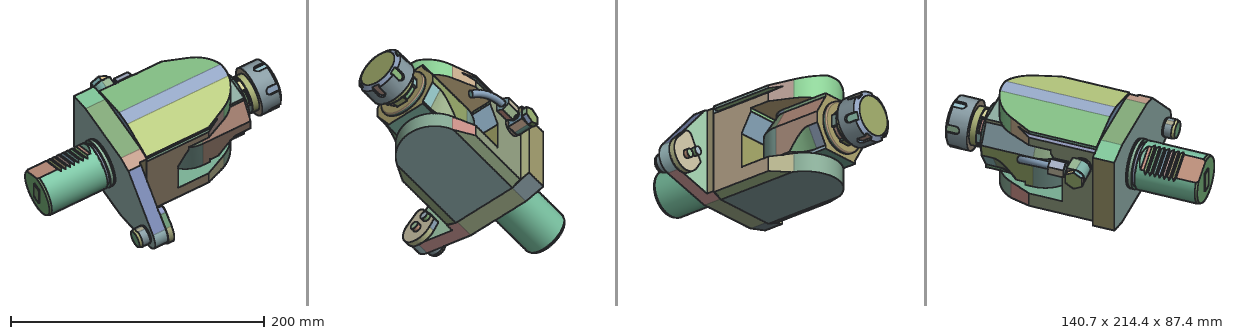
import cadquery as cq
import math


shank_dia = 40.0
shank_end = -60.2
shank_chamfer, shank_chamfer_length = 0.9, 2.0
neck_dia = 39.7
seal_ring_dia = 41.0
groove_dia = 36.0
seal_ring_start, seal_ring_end = -1.5, -4.7
groove_end = -7.5
key_width, key_height, key_rise = 8.0, 17.2, 0.9

flat_distance = 17.2
flat_tilt = 30
flat_start, runout_start = -11.5, -9.0
tooth_count = 7
first_tooth_y, last_tooth_y = -16.0, -40.0
tooth_pitch = (first_tooth_y - last_tooth_y) / (tooth_count - 1)
tooth_width, tooth_depth = 3.2, 1.7

flange_thickness = 18.2
flange_left = -45.5
flange_half_height = 39.2
flange_flat_half = 27.7
flange_slope = 15
lug_thickness = 11.5
lug_step_x = 37.5
lug_corner_x = 39.9
lug_x, lug_z = 68.2, -14.1
lug_radius = 13.7

screw_x, screw_z = 68.4, -15.0
screw_dia, screw_neck_dia = 15.9, 14.5
screw_neck, screw_length = 1.0, 10.5
screw_chamfer, screw_chamfer_length = 1.0, 2.5
screw_flat_width, screw_flat_tilt = 3.9, 16
pad_top = 17.0
pad_radius = 14.8
pad_upper_round = (66.5, 1.3, 5.0)
pad_left_round = (51.9, -15.7, 0.6)
pin_dia, pin_top = 7.0, 20.8
pin_places = [(58.7, -9.5), (screw_x, screw_z)]

body_half_width = 36.9
body_side_end = 75.3
nose_radius = 30.9
nose_taper = 25
body_end = 112.0
body_bottom = -40.7
bottom_flat_half, bottom_side_z = 28.5, -37.0
shoulder_z, shoulder_half = 36.0, 31.7
shoulder_side_z = 32.2
roof_z, roof_flat_half, roof_slope = 46.7, 6.5, 15
slot_floor = 47.2

head_half_width = 27.9
head_half_height = 24.5
head_end = 118.8
head_pivot_y = 75.3
head_top_half = 18.0
head_plate_z = 21.5
head_bevel_z = 5.0
gap_y, gap_z, gap_radius = 26.5, 2.1, 28.3
relief_start, relief_radius = 109.3, 15.0
edge_step_start = 82.0

ring_dia, ring_end, ring_round = 43.0, 122.5, 1.0
spindle_dia, spindle_end = 29.0, 128.0
spindle_shoulder_start = 126.5
spindle_groove_dia = 27.2
cross_bar_length, cross_bar_width = 29.2, 10.0
collar_dia, collar_end = 32.0, 133.8
nut_dia = 41.5
nut_chamfer, nut_chamfer_length = 4.0, 2.5
nut_slot_count, nut_slot_width, nut_slot_floor, nut_slot_start = 6, 6.5, 18.5, 140.6
nut_slot_angle = -10.7

fitting_y, fitting_z = 29.8, 17.0
fitting_block_dia, fitting_block_end = 15.5, 37.3
fitting_stub_dia = 14.5
fitting_block_x = (-53.4, -39.5)
plug_end_x, plug_hex_dia = -57.7, 16.3
outlet_x = -46.5
outlet_neck_dia, outlet_collar_dia = 8.1, 9.9
outlet_collar_start, union_start, union_end = 38.8, 40.5, 53.4
union_hex_dia = 14.0
tube_dia = 6.0
tube_reach, tube_shift_x, tube_drop = 28.7, 9.2, 8.5

overall_length = 214.4
nut_end = overall_length + shank_end - key_rise


def cylinder_y(dia, start, end, x=0.0, z=0.0):
    """Cylinder along Y between two stations."""
    plane = cq.Plane(origin=(x, start, z), xDir=(1, 0, 0), normal=(0, 1, 0))
    return cq.Workplane(plane).circle(dia / 2).extrude(end - start)


def prism_y(points, start, end):
    """Prism along Y from an outline of (x, z) points."""
    return cq.Workplane("XZ", origin=(0, start, 0)).polyline(points).close().extrude(start - end)


def box_between(low, high):
    """Box from its lowest to its highest corner."""
    size = [b - a for a, b in zip(low, high)]
    return cq.Workplane("XY").box(*size, centered=False).translate(low)


def mirrored_pair(shape):
    """A shape together with its mirror image across X = 0."""
    return shape.union(shape.mirror("YZ"))


def lug_tangent(x, z, side):
    """Point where the line from (x, z) touches the lug round (side +1 upper, -1 lower)."""
    away_x, away_z = x - lug_x, z - lug_z
    direction = math.atan2(away_z, away_x) - side * math.acos(lug_radius / math.hypot(away_x, away_z))
    return lug_x + lug_radius * math.cos(direction), lug_z + lug_radius * math.sin(direction)


def make_shank():
    shank = cylinder_y(shank_dia, shank_end, groove_end)
    shank = shank.faces("<Y").edges().chamfer(shank_chamfer_length, shank_chamfer)
    shank = shank.union(cylinder_y(groove_dia, groove_end, seal_ring_end))
    shank = shank.union(cylinder_y(seal_ring_dia, seal_ring_end, seal_ring_start))
    shank = shank.union(cylinder_y(neck_dia, seal_ring_start, 0))

    top = shank_dia
    past_end = shank_end - key_rise
    flat_cutter = (
        cq.Workplane("YZ")
        .polyline([(past_end, flat_distance), (flat_start, flat_distance),
                   (runout_start, shank_dia / 2), (runout_start, top), (past_end, top)])
        .close().extrude(shank_dia / 2, both=True)
    )
    for i in range(tooth_count):
        y = first_tooth_y - i * tooth_pitch
        groove = (
            cq.Workplane("YZ")
            .polyline([(y - tooth_width / 2, flat_distance), (y, flat_distance - tooth_depth),
                       (y + tooth_width / 2, flat_distance), (y, top)])
            .close().extrude(shank_dia / 2, both=True)
        )
        flat_cutter = flat_cutter.union(groove)
    shank = shank.cut(flat_cutter.rotate((0, 0, 0), (0, 1, 0), -flat_tilt))

    key = box_between((-key_width / 2, shank_end - key_rise, -key_height / 2),
                      (key_width / 2, shank_end, key_height / 2))
    return shank.union(key)


def make_flange():
    slope = math.tan(math.radians(flange_slope))
    side_z = flange_half_height - slope * (-flange_left - flange_flat_half)
    corner = (lug_corner_x, flange_half_height - slope * (lug_corner_x - flange_flat_half))
    bottom_right = (flange_flat_half, -flange_half_height)
    tip = (lug_x + lug_radius, lug_z)
    flange = (
        cq.Workplane("XZ")
        .moveTo(flange_left, -side_z)
        .lineTo(flange_left, side_z)
        .lineTo(-flange_flat_half, flange_half_height)
        .lineTo(flange_flat_half, flange_half_height)
        .lineTo(*corner)
        .lineTo(*lug_tangent(*corner, 1))
        .threePointArc(tip, lug_tangent(*bottom_right, -1))
        .lineTo(*bottom_right)
        .lineTo(-flange_flat_half, -flange_half_height)
        .close().extrude(-flange_thickness)
    )
    lug_relief = box_between((lug_step_x, lug_thickness, -flange_half_height),
                             (lug_x + 2 * lug_radius, flange_thickness, flange_half_height))
    return flange.cut(lug_relief)


def make_lug_parts():
    screw = cylinder_y(screw_dia, -screw_length, -screw_neck, screw_x, screw_z)
    screw = screw.faces("<Y").edges().chamfer(screw_chamfer_length, screw_chamfer)
    flat_height = math.sqrt((screw_dia / 2) ** 2 - (screw_flat_width / 2) ** 2)
    flat_cut = box_between((-screw_dia, -screw_length, flat_height), (screw_dia, -screw_neck, screw_dia))
    flat_cut = flat_cut.rotate((0, 0, 0), (0, 1, 0), -screw_flat_tilt).translate((screw_x, 0, screw_z))
    screw = screw.cut(flat_cut)
    parts = screw.union(cylinder_y(screw_neck_dia, -screw_neck, 0, screw_x, screw_z))

    rounds = [pad_upper_round, pad_left_round, (lug_x, lug_z, pad_radius)]
    pad = prism_y([(x, z) for x, z, _ in rounds], lug_thickness, pad_top)
    for x, z, radius in rounds:
        pad = pad.union(cylinder_y(2 * radius, lug_thickness, pad_top, x, z))
    for (xa, za, ra), (xb, zb, rb) in zip(rounds, rounds[1:] + rounds[:1]):
        heading = math.atan2(zb - za, xb - xa)
        normal = heading - math.acos((ra - rb) / math.hypot(xb - xa, zb - za))
        edge_x, edge_z = math.cos(normal), math.sin(normal)
        web = [(xa, za), (xa + ra * edge_x, za + ra * edge_z), (xb + rb * edge_x, zb + rb * edge_z), (xb, zb)]
        pad = pad.union(prism_y(web, lug_thickness, pad_top))
    parts = parts.union(pad)

    for x, z in pin_places:
        parts = parts.union(cylinder_y(pin_dia, pad_top, pin_top, x, z))
    return parts


def make_body():
    lower = [
        (-shoulder_half, shoulder_z), (shoulder_half, shoulder_z),
        (body_half_width, shoulder_side_z), (body_half_width, bottom_side_z),
        (bottom_flat_half, body_bottom), (-bottom_flat_half, body_bottom),
        (-body_half_width, bottom_side_z), (-body_half_width, shoulder_side_z),
    ]
    eave_z = roof_z - math.tan(math.radians(roof_slope)) * (body_half_width - roof_flat_half)
    roof = [
        (-body_half_width, shoulder_z), (-body_half_width, eave_z), (-roof_flat_half, roof_z),
        (roof_flat_half, roof_z), (body_half_width, eave_z), (body_half_width, shoulder_z),
    ]
    section = prism_y(lower, flange_thickness, body_end).union(prism_y(roof, flange_thickness, body_end))

    taper = math.radians(nose_taper)
    nose_y = body_end - nose_radius
    tangent_x = nose_radius * math.cos(taper)
    tangent_y = nose_y + nose_radius * math.sin(taper)
    plan = (
        cq.Workplane("XY", origin=(0, 0, body_bottom))
        .moveTo(-body_half_width, flange_thickness)
        .lineTo(-body_half_width, body_side_end)
        .lineTo(-tangent_x, tangent_y)
        .threePointArc((0, body_end), (tangent_x, tangent_y))
        .lineTo(body_half_width, body_side_end)
        .lineTo(body_half_width, flange_thickness)
        .close().extrude(roof_z - body_bottom)
    )
    slot_top_y = slot_floor + head_half_width - head_top_half
    slot = (
        cq.Workplane("YZ")
        .polyline([(slot_floor, -head_half_height), (slot_floor, head_bevel_z),
                   (slot_top_y, head_plate_z), (slot_top_y, head_half_height),
                   (head_end, head_half_height), (head_end, -head_half_height)])
        .close().extrude(body_half_width, both=True)
    )
    return section.intersect(plan).cut(slot)


def make_head():
    half_section = [
        (0, -head_half_height), (head_half_width, -head_half_height), (head_half_width, head_bevel_z),
        (head_top_half, head_plate_z), (head_top_half, head_half_height), (0, head_half_height),
    ]
    straight = prism_y(half_section, head_pivot_y, head_end)
    head = mirrored_pair(straight)
    rounded_back = (
        cq.Workplane("XZ").polyline(half_section).close()
        .revolve(360, (0, 0, 0), (0, 1, 0)).translate((0, head_pivot_y, 0))
    )
    head = head.union(rounded_back)
    gap = cq.Workplane("YZ").center(gap_y, gap_z).circle(gap_radius).extrude(head_half_width, both=True)
    head = head.cut(gap)

    bevel_depth = head_half_width - head_top_half
    bevel = [(head_half_width, -head_bevel_z), (head_top_half, -head_plate_z), (head_half_width, -head_plate_z)]
    relief = prism_y(bevel, relief_start, head_end)
    runout = (
        cq.Workplane("XZ")
        .polyline([(0, -head_bevel_z), (relief_radius, -head_bevel_z),
                   (relief_radius + bevel_depth, -head_plate_z), (0, -head_plate_z)])
        .close().revolve(360, (0, 0, 0), (0, 1, 0))
        .translate((head_half_width + relief_radius, relief_start, 0))
    )
    edge_step = box_between((head_top_half, edge_step_start, -head_half_height),
                            (head_half_width, head_end, -head_plate_z))
    return head.cut(mirrored_pair(relief.union(runout).union(edge_step)))


def make_spindle_and_nut():
    ring = cylinder_y(ring_dia, head_end, ring_end).edges().fillet(ring_round)
    spindle = cylinder_y(spindle_dia, spindle_shoulder_start, spindle_end)
    spindle = spindle.union(cylinder_y(spindle_groove_dia, ring_end, spindle_shoulder_start))
    for width, height in [(cross_bar_length, cross_bar_width), (cross_bar_width, cross_bar_length)]:
        spindle = spindle.union(box_between((-width / 2, ring_end, -height / 2),
                                            (width / 2, spindle_end, height / 2)))
    collar = cylinder_y(collar_dia, spindle_end, collar_end)

    nut = cylinder_y(nut_dia, collar_end, nut_end)
    nut = nut.faces(">Y").edges().chamfer(nut_chamfer_length, nut_chamfer)
    for i in range(nut_slot_count):
        slot_round_y = nut_slot_start + nut_slot_width / 2
        slot = (
            cq.Workplane("XY", origin=(0, 0, nut_slot_floor))
            .moveTo(-nut_slot_width / 2, nut_end)
            .lineTo(-nut_slot_width / 2, slot_round_y)
            .threePointArc((0, nut_slot_start), (nut_slot_width / 2, slot_round_y))
            .lineTo(nut_slot_width / 2, nut_end)
            .close().extrude(nut_dia)
        )
        nut = nut.cut(slot.rotate((0, 0, 0), (0, 1, 0), nut_slot_angle + i * 360 / nut_slot_count))
    return ring.union(spindle).union(collar).union(nut)


def make_fitting():
    def along_x(start):
        return cq.Workplane("YZ", origin=(start, fitting_y, fitting_z))

    block_start, block_end = fitting_block_x
    block_radius = fitting_block_dia / 2
    block = along_x(block_start).circle(block_radius).extrude(block_end - block_start)
    block = block.union(
        box_between((block_start, fitting_y, fitting_z - block_radius),
                    (block_end, fitting_block_end, fitting_z + block_radius)))
    stub = along_x(block_end).circle(fitting_stub_dia / 2).extrude(-body_half_width - block_end)
    plug = along_x(plug_end_x).transformed(rotate=(0, 0, 90)).polygon(6, plug_hex_dia)
    fitting = block.union(stub).union(plug.extrude(block_start - plug_end_x))

    outlet = cylinder_y(outlet_neck_dia, fitting_block_end, outlet_collar_start, outlet_x, fitting_z)
    outlet_collar = cylinder_y(outlet_collar_dia, outlet_collar_start, union_start, outlet_x, fitting_z)
    union_nut = (
        cq.Workplane("XZ", origin=(outlet_x, union_start, fitting_z))
        .transformed(rotate=(0, 0, 90)).polygon(6, union_hex_dia).extrude(union_start - union_end)
    )

    sideways = math.hypot(tube_shift_x, tube_drop)
    bend_angle = 2 * math.atan2(sideways, tube_reach)
    bend_radius = tube_reach / math.sin(bend_angle)
    middle_y = bend_radius * math.sin(bend_angle / 2)
    middle_side = bend_radius * (1 - math.cos(bend_angle / 2))
    lean = cq.Plane(origin=(outlet_x, 0, fitting_z), xDir=(0, 1, 0),
                    normal=(tube_drop, 0, tube_shift_x))
    path = (
        cq.Workplane(lean).moveTo(union_end, 0)
        .threePointArc((union_end + middle_y, -middle_side),
                       (union_end + tube_reach, -sideways))
    )
    tube = cq.Workplane("XZ", origin=(outlet_x, union_end, fitting_z)).circle(tube_dia / 2).sweep(path)
    return fitting.union(outlet).union(outlet_collar).union(union_nut).union(tube)


result = (
    make_body()
    .union(make_flange())
    .union(make_shank())
    .union(make_lug_parts())
    .union(make_head())
    .union(make_spindle_and_nut())
    .union(make_fitting())
)